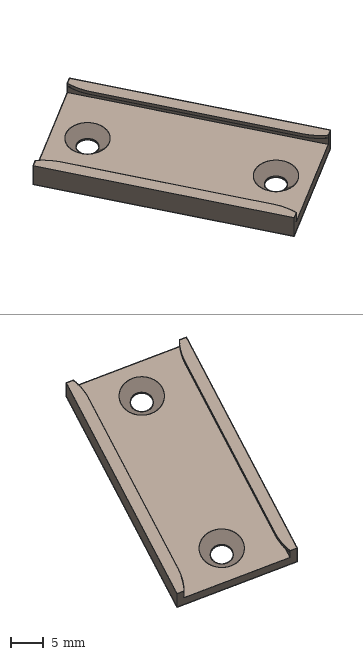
import cadquery as cq
import math

length = 41.5
width = 20.13
height = 4.0

floor_thickness = 2.05
wall_thickness = 1.2
lip_width = 2.0
lip_thickness = 0.62
lead_in_radius = 10.0

hole_spacing = 29.95
hole_diameter = 3.5
countersink_diameter = 6.95
countersink_angle = 90.0

half_length = length / 2
wall_face = width / 2 - wall_thickness
lip_edge = width / 2 - lip_width


def make_base():
    """Block with a straight channel, open at both ends, between two walls."""
    block = cq.Workplane("XY").box(length, width, height, centered=(True, True, False))
    channel = (
        cq.Workplane("XY")
        .workplane(offset=floor_thickness)
        .rect(length, 2 * wall_face)
        .extrude(height - floor_thickness)
    )
    return block.cut(channel)


def make_lip():
    """Lip on the +Y wall whose free edge curves tangentially back to the wall at each end."""
    overhang = wall_face - lip_edge
    run = math.sqrt(lead_in_radius**2 - (lead_in_radius - overhang) ** 2)
    straight_end = half_length - run
    half_angle = math.asin(run / lead_in_radius) / 2
    mid_x = straight_end + lead_in_radius * math.sin(half_angle)
    mid_y = lip_edge + lead_in_radius * (1 - math.cos(half_angle))
    return (
        cq.Workplane("XY")
        .workplane(offset=height - lip_thickness)
        .moveTo(-half_length, width / 2)
        .lineTo(-half_length, wall_face)
        .threePointArc((-mid_x, mid_y), (-straight_end, lip_edge))
        .lineTo(straight_end, lip_edge)
        .threePointArc((mid_x, mid_y), (half_length, wall_face))
        .lineTo(half_length, width / 2)
        .close()
        .extrude(lip_thickness)
    )


def cut_screw_holes(body):
    """Countersunk through holes on the centre line, sunk from the channel floor."""
    return (
        body
        .copyWorkplane(cq.Workplane("XY", origin=(0, 0, floor_thickness)))
        .pushPoints([(-hole_spacing / 2, 0), (hole_spacing / 2, 0)])
        .cskHole(hole_diameter, countersink_diameter, countersink_angle)
    )


lip = make_lip()
body = make_base().union(lip).union(lip.mirror("XZ"))
result = cut_screw_holes(body)